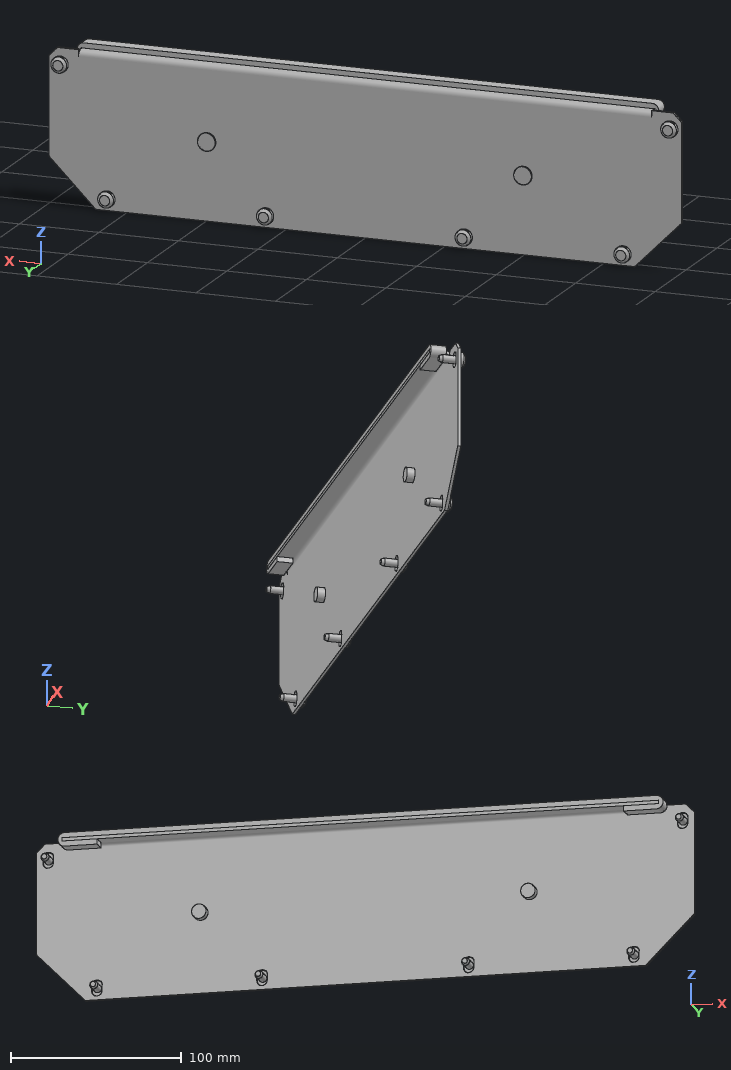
import cadquery as cq
import math


LENGTH = 398.0
PLATE_HEIGHT = 96.5
SHEET = 2.0
TOP_CORNER = 5.0
BOTTOM_CORNER = 29.5

FLANGE_HALF_LENGTH = 180.3
FLANGE_DEPTH = 12.0
BEND_INNER_RADIUS = 2.0
BEND_OUTER_RADIUS = BEND_INNER_RADIUS + SHEET

TRIM_WALL = 3.0
TRIM_END_WALL = 2.8
TRIM_GAP = 2.5
TRIM_LIP_LENGTH = 24.0
TRIM_HEIGHT = SHEET + 2 * TRIM_WALL
TRIM_LENGTH = 2 * (FLANGE_HALF_LENGTH + TRIM_END_WALL)
TRIM_DEPTH = FLANGE_DEPTH - TRIM_GAP
FLANGE_MID_Z = PLATE_HEIGHT - SHEET / 2

SCREW_DIAMETER = 4.8
SCREW_REACH = 9.5
SCREW_TIP_LENGTH = 2.0
SCREW_TIP_DIAMETER = 3.0
HEAD_DIAMETER = 10.0
HEAD_HEIGHT = 4.0
HEAD_RIM_HEIGHT = 2.5
HEAD_TOP_DIAMETER = 6.5
SLOT_WIDTH = 6.5
SLOT_HEIGHT = 9.5
INNER_SCREW_X = 62.5
OUTER_SCREW_X = 162.5
CORNER_SCREW_X = 192.0
LOWER_SCREW_Z = 7.0
UPPER_SCREW_Z = 86.5
SCREW_CENTRES = [
    (side * x, z)
    for x, z in [
        (INNER_SCREW_X, LOWER_SCREW_Z),
        (OUTER_SCREW_X, LOWER_SCREW_Z),
        (CORNER_SCREW_X, UPPER_SCREW_Z),
    ]
    for side in (-1, 1)
]

STUD_DIAMETER = 8.8
STUD_REACH = 4.8
STUD_FLANGE_DIAMETER = 11.0
STUD_FLANGE_THICKNESS = 1.0
STUD_X = LENGTH / 4
STUD_Z = 48.5
STUD_CENTRES = [(side * STUD_X, STUD_Z) for side in (-1, 1)]


def front_plane(y):
    """Sketch plane at the given Y: local x is X, local y is Z, and extrusions run toward -Y."""
    return cq.Workplane("XZ", origin=(0, y, 0))


def make_sheet():
    half = LENGTH / 2
    right_side = [
        (half - BOTTOM_CORNER, 0),
        (half, BOTTOM_CORNER),
        (half, PLATE_HEIGHT - TOP_CORNER),
        (half - TOP_CORNER, PLATE_HEIGHT),
    ]
    left_side = [(-x, z) for x, z in reversed(right_side)]
    return front_plane(SHEET).polyline(right_side + left_side).close().extrude(SHEET)


def make_bent_flange():
    """Section of the bend and flange in the YZ plane, swept along X."""
    bend_y = SHEET - BEND_OUTER_RADIUS
    bend_z = PLATE_HEIGHT - BEND_OUTER_RADIUS
    diagonal = math.sqrt(0.5)
    outer_mid = (bend_y + BEND_OUTER_RADIUS * diagonal, bend_z + BEND_OUTER_RADIUS * diagonal)
    inner_mid = (bend_y + BEND_INNER_RADIUS * diagonal, bend_z + BEND_INNER_RADIUS * diagonal)
    return (
        cq.Workplane("YZ")
        .moveTo(SHEET, bend_z)
        .threePointArc(outer_mid, (bend_y, PLATE_HEIGHT))
        .lineTo(-FLANGE_DEPTH, PLATE_HEIGHT)
        .lineTo(-FLANGE_DEPTH, PLATE_HEIGHT - SHEET)
        .lineTo(bend_y, PLATE_HEIGHT - SHEET)
        .threePointArc(inner_mid, (0, bend_z))
        .close()
        .extrude(FLANGE_HALF_LENGTH, both=True)
    )


def make_plate():
    """Sheet whose top edge is replaced by the bent flange, with openings for screws and studs."""
    bend_zone = (
        cq.Workplane("XY", origin=(0, 0, PLATE_HEIGHT - BEND_OUTER_RADIUS))
        .box(2 * FLANGE_HALF_LENGTH, SHEET, BEND_OUTER_RADIUS, centered=(True, False, False))
    )
    slots = (
        front_plane(SHEET)
        .pushPoints(SCREW_CENTRES)
        .slot2D(SLOT_HEIGHT, SLOT_WIDTH, 90)
        .extrude(SHEET)
    )
    stud_holes = front_plane(SHEET).pushPoints(STUD_CENTRES).circle(STUD_DIAMETER / 2).extrude(SHEET)
    return make_sheet().cut(bend_zone).union(make_bent_flange()).cut(slots).cut(stud_holes)


def make_trim():
    """Round-ended strip that covers the flange, with a short return lip under each end."""
    strip = (
        front_plane(-TRIM_GAP)
        .center(0, FLANGE_MID_Z)
        .slot2D(TRIM_LENGTH, TRIM_HEIGHT)
        .extrude(TRIM_DEPTH)
    )
    flange_space = (
        front_plane(-TRIM_GAP)
        .center(0, FLANGE_MID_Z)
        .rect(2 * FLANGE_HALF_LENGTH, SHEET)
        .extrude(TRIM_DEPTH)
    )
    lip_gap = (
        front_plane(-TRIM_GAP)
        .center(0, FLANGE_MID_Z - TRIM_HEIGHT / 2)
        .rect(TRIM_LENGTH - 2 * TRIM_LIP_LENGTH, TRIM_HEIGHT)
        .extrude(TRIM_DEPTH)
    )
    return strip.cut(flange_space).cut(lip_gap)


def make_screw(x, z):
    """Solid of revolution about the screw's axis: flat-topped conical head and tapered tip."""
    head_y = SHEET + HEAD_HEIGHT
    rim_y = SHEET + HEAD_RIM_HEIGHT
    section = [
        (0, head_y),
        (HEAD_TOP_DIAMETER / 2, head_y),
        (HEAD_DIAMETER / 2, rim_y),
        (HEAD_DIAMETER / 2, SHEET),
        (SCREW_DIAMETER / 2, SHEET),
        (SCREW_DIAMETER / 2, SCREW_TIP_LENGTH - SCREW_REACH),
        (SCREW_TIP_DIAMETER / 2, -SCREW_REACH),
        (0, -SCREW_REACH),
    ]
    screw = cq.Workplane("XY").polyline(section).close().revolve(360, (0, 0, 0), (0, 1, 0))
    return screw.translate((x, 0, z))


def make_stud(x, z):
    flange = (
        front_plane(SHEET + STUD_FLANGE_THICKNESS)
        .center(x, z)
        .circle(STUD_FLANGE_DIAMETER / 2)
        .extrude(STUD_FLANGE_THICKNESS)
    )
    body = front_plane(SHEET).center(x, z).circle(STUD_DIAMETER / 2).extrude(SHEET + STUD_REACH)
    return flange.union(body)


plate = make_plate()
trim = make_trim()
screws = [make_screw(x, z) for x, z in SCREW_CENTRES]
studs = [make_stud(x, z) for x, z in STUD_CENTRES]

result = cq.Compound.makeCompound(
    [plate.val(), trim.val()]
    + [screw.val() for screw in screws]
    + [stud.val() for stud in studs]
)